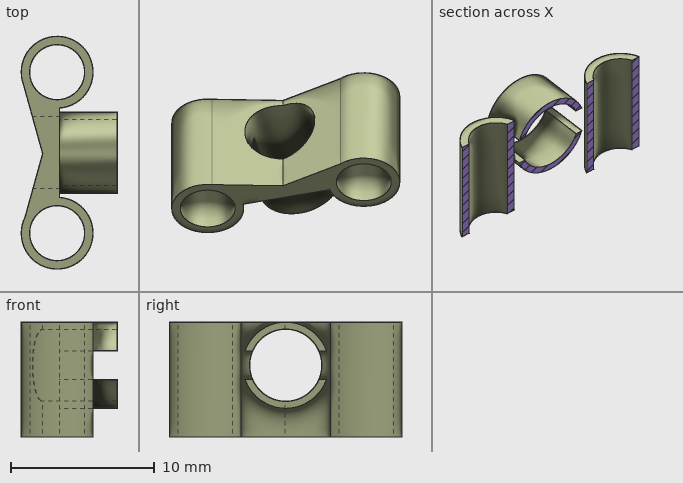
import cadquery as cq
import math

length = 16.18
width = 6.68
height = 8.0

sleeve_diameter = 5.0
sleeve_bore = 3.8
sleeve_radius = sleeve_diameter / 2
sleeve_x = sleeve_radius
sleeve_y = length / 2 - sleeve_radius

web_back_x = 2.67
valley_x = 1.49
valley_y = -0.06
front_joint_y_plus = 4.71
front_joint_y_minus = -4.47

tube_diameter = 5.99
tube_bore = 5.0
tube_z = 5.0
slot_height = 2.0


def cylinder_x(diameter, start, end):
    """Cylinder along X on the axis of the horizontal tube."""
    return (
        cq.Workplane("YZ", origin=(start, 0, tube_z))
        .circle(diameter / 2)
        .extrude(end - start)
    )


def sleeve_cylinders(diameter):
    """Full-height cylinders on both sleeve axes."""
    return (
        cq.Workplane("XY")
        .pushPoints([(sleeve_x, -sleeve_y), (sleeve_x, sleeve_y)])
        .circle(diameter / 2)
        .extrude(height)
    )


def sleeve_front_x(y):
    """X of the front surface of the nearer sleeve at a given Y."""
    offset = abs(y) - sleeve_y
    return sleeve_x - math.sqrt(sleeve_radius**2 - offset**2)


def web():
    """Web running between the sleeve axes, with a V-shaped front."""
    outline = [
        (sleeve_front_x(front_joint_y_plus), front_joint_y_plus),
        (valley_x, valley_y),
        (sleeve_front_x(front_joint_y_minus), front_joint_y_minus),
        (web_back_x, -sleeve_y),
        (web_back_x, sleeve_y),
    ]
    return cq.Workplane("XY").polyline(outline).close().extrude(height)


def slotted_tube():
    """Tube split by a horizontal slot through both side walls."""
    tube = cylinder_x(tube_diameter, web_back_x, width)
    slot = cq.Workplane("XY").box(width - web_back_x, tube_diameter, slot_height)
    slot = slot.translate(((web_back_x + width) / 2, 0, tube_z))
    return tube.cut(slot)


body = sleeve_cylinders(sleeve_diameter).union(web()).union(slotted_tube())
result = body.cut(sleeve_cylinders(sleeve_bore)).cut(cylinder_x(tube_bore, 0, width))